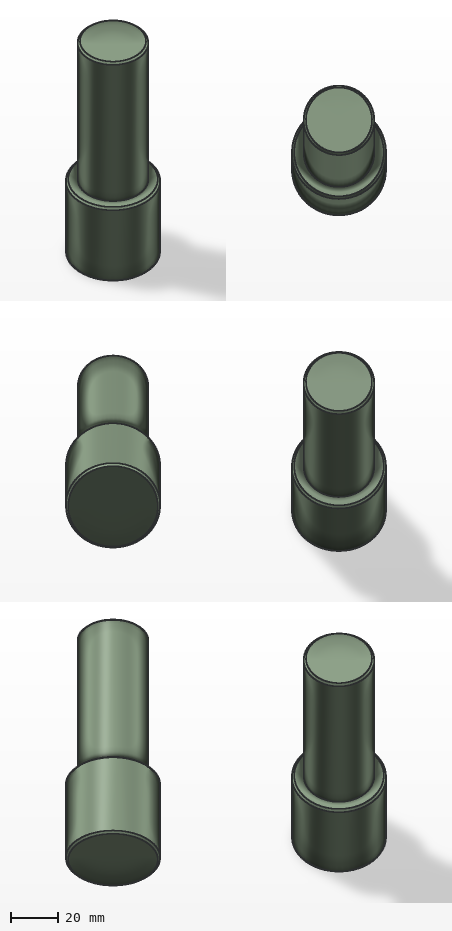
import cadquery as cq

total_length = 115.0
head_diameter = 40.0
head_height = 40.0
shank_diameter = 30.0
edge_chamfer = 1.0

shank_length = total_length - head_height


def chamfered_cylinder(diameter, height, chamfered_edges):
    """Upright cylinder on the XY plane with the selected end edges chamfered."""
    cylinder = cq.Workplane("XY").circle(diameter / 2).extrude(height)
    return cylinder.edges(chamfered_edges).chamfer(edge_chamfer)


head = chamfered_cylinder(head_diameter, head_height, "%CIRCLE")
shank = chamfered_cylinder(shank_diameter, shank_length, ">Z")

result = head.union(shank.translate((0, 0, head_height)))